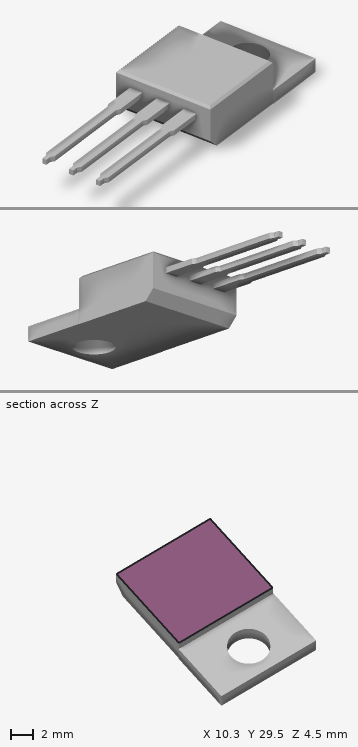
import cadquery as cq

total_length = 29.5
total_height = 4.5

tab_width = 10.32
tab_length = 6.37
tab_thickness = 1.42
hole_diameter = 3.8
hole_edge_distance = 2.98

side_step = 0.045
body_width = tab_width - 2 * side_step
body_length = 9.35
top_chamfer = 0.25
bottom_chamfer = 0.97
body_back = total_length - tab_length
body_front = body_back - body_length

lead_count = 3
lead_pitch = 2.92
lead_thickness = 0.53
lead_bottom = 2.75
shoulder_width = 1.35
shank_width = 0.95
tip_width = 0.45
shoulder_end = 10.47
shank_start = 10.1
shank_end = 0.9
tip_start = 0.55


def make_tab():
    tab = cq.Workplane("XY").box(
        tab_width, tab_length, tab_thickness, centered=(True, False, False)
    )
    tab = tab.translate((0, body_back, 0))
    hole = (
        cq.Workplane("XY")
        .center(0, total_length - hole_edge_distance)
        .circle(hole_diameter / 2)
        .extrude(tab_thickness)
    )
    return tab.cut(hole)


def make_body():
    body = cq.Workplane("XY").box(
        body_width, body_length, total_height, centered=(True, False, False)
    )
    body = body.faces(">Z").edges().chamfer(top_chamfer)
    body = body.faces("<Y").edges("<Z").chamfer(bottom_chamfer)
    return body.translate((0, body_front, 0))


def make_lead(x_center):
    """Flat lead that narrows from shoulder to shank to tip."""
    right_side = [
        (shoulder_width / 2, body_front),
        (shoulder_width / 2, shoulder_end),
        (shank_width / 2, shank_start),
        (shank_width / 2, shank_end),
        (tip_width / 2, tip_start),
        (tip_width / 2, 0),
    ]
    left_side = [(-x, y) for x, y in reversed(right_side)]
    lead = cq.Workplane("XY").polyline(right_side + left_side).close().extrude(lead_thickness)
    return lead.translate((x_center, 0, lead_bottom))


result = make_body().union(make_tab())
for index in range(lead_count):
    offset = (index - (lead_count - 1) / 2) * lead_pitch
    result = result.union(make_lead(offset))